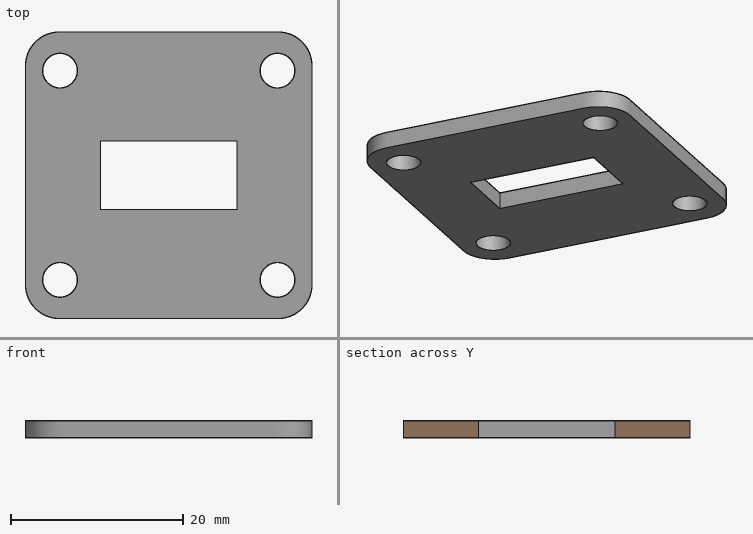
import cadquery as cq

plate_side = 33.3
plate_thickness = 2.0
corner_radius = 4.0

window_length = 15.8
window_width = 7.9

hole_diameter = 4.0
hole_spacing_x = 25.24
hole_spacing_y = 24.28


def make_plate():
    """Square plate with rounded vertical corners, resting on Z = 0."""
    plate = cq.Workplane("XY").rect(plate_side, plate_side).extrude(plate_thickness)
    return plate.edges("|Z").fillet(corner_radius)


def cut_window(plate):
    """Cut the central rectangular window through the plate."""
    return plate.faces(">Z").workplane().rect(window_length, window_width).cutThruAll()


def drill_bolt_holes(plate):
    """Drill one through hole near each corner."""
    pattern = plate.faces(">Z").workplane().rect(hole_spacing_x, hole_spacing_y, forConstruction=True)
    return pattern.vertices().hole(hole_diameter)


result = drill_bolt_holes(cut_window(make_plate()))